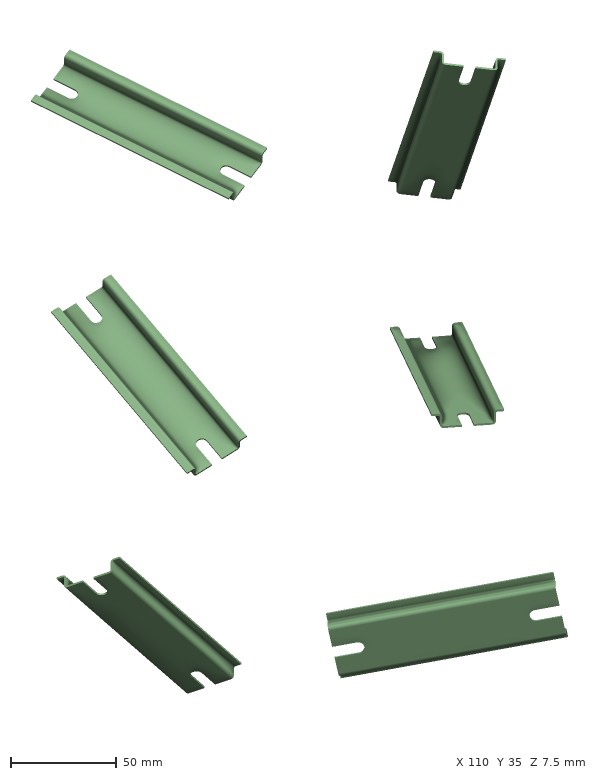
import cadquery as cq

length = 110.0
width = 35.0
height = 7.5
sheet = 1.0

channel_width = 27.0
inner_radius = 0.8
outer_radius = inner_radius + sheet

slot_width = 5.8
slot_depth = 15.0


def hat_profile():
    """Closed outline of the bent sheet, with sharp corners, in the YZ plane."""
    half_width = width / 2
    outer_wall = channel_width / 2
    inner_wall = outer_wall - sheet
    upper_side = [
        (-half_width, height),
        (-inner_wall, height),
        (-inner_wall, sheet),
        (inner_wall, sheet),
        (inner_wall, height),
        (half_width, height),
    ]
    lower_side = [
        (half_width, height - sheet),
        (outer_wall, height - sheet),
        (outer_wall, 0),
        (-outer_wall, 0),
        (-outer_wall, height - sheet),
        (-half_width, height - sheet),
    ]
    return cq.Workplane("YZ").polyline(upper_side + lower_side).close()


def bent_rail():
    """Extruded hat section with concentric radii at all four bends."""
    outer_wall = channel_width / 2
    inner_wall = outer_wall - sheet
    corners = (
        (inner_wall, height, outer_radius),
        (inner_wall, sheet, inner_radius),
        (outer_wall, height - sheet, inner_radius),
        (outer_wall, 0, outer_radius),
    )
    body = hat_profile().extrude(length / 2, both=True)
    tolerance = sheet / 10
    for y, z, radius in corners:
        for side in (-1, 1):
            low = (-length, side * y - tolerance, z - tolerance)
            high = (length, side * y + tolerance, z + tolerance)
            body = body.edges("|X").edges(cq.selectors.BoxSelector(low, high)).fillet(radius)
    return body


def end_slot(side):
    """Round-bottomed slot open through the rail end on the given side."""
    slot_length = 2 * slot_depth
    return (
        cq.Workplane("XY")
        .center(side * length / 2, 0)
        .slot2D(slot_length, slot_width)
        .extrude(height)
    )


result = bent_rail()
for end in (-1, 1):
    result = result.cut(end_slot(end))